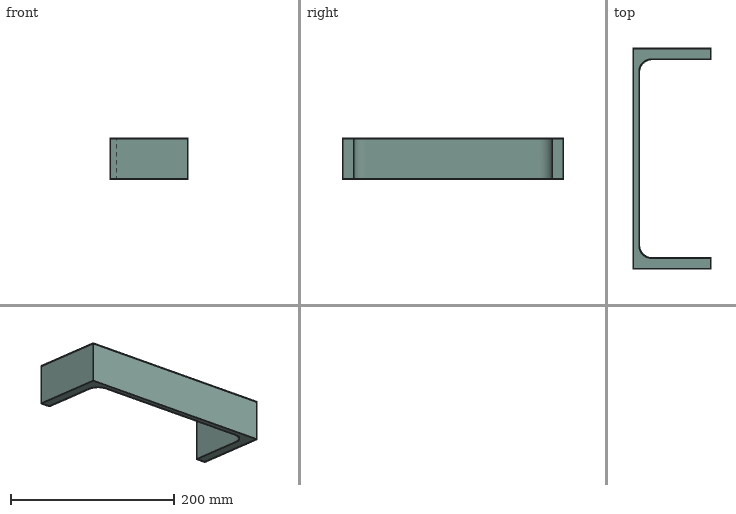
import cadquery as cq

flange_width = 95.0
section_height = 270.0
length = 50.0

web_thickness = 7.5
flange_thickness = 13.5
root_radius = 15.0

block = cq.Workplane("XY").box(flange_width, section_height, length)

cavity = (
    cq.Workplane("XY")
    .box(flange_width - web_thickness, section_height - 2 * flange_thickness, length)
    .edges("|Z and <X")
    .fillet(root_radius)
    .translate((web_thickness / 2, 0, 0))
)

result = block.cut(cavity)